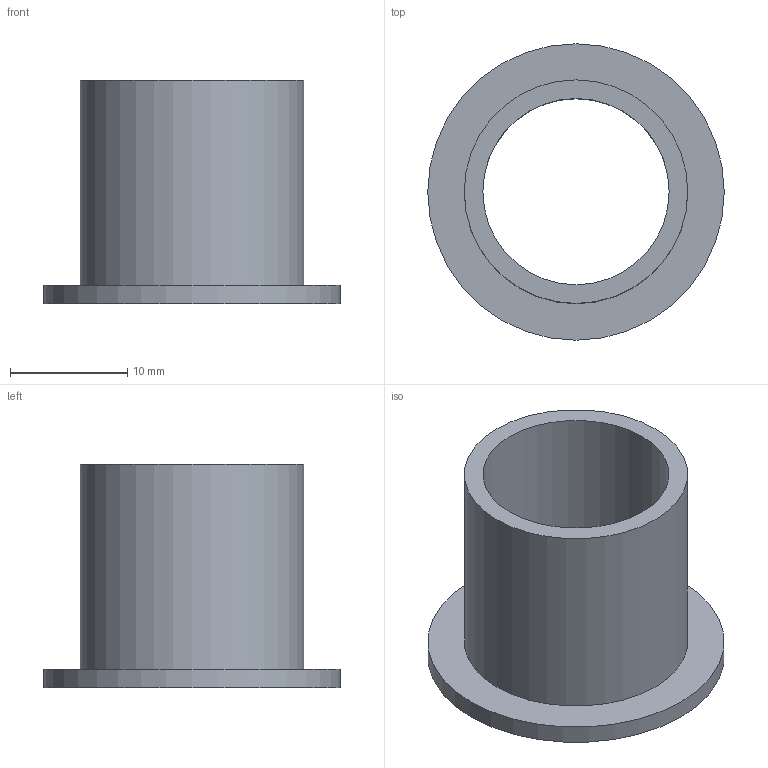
import cadquery as cq

sleeve_diameter = 19.05
wall_thickness = 1.5875
flange_diameter = 25.27
flange_thickness = wall_thickness
overall_height = 19.05

bore_diameter = sleeve_diameter - 2 * wall_thickness


def cylinder(diameter, height):
    """Solid cylinder on the Z axis, standing on the XY plane."""
    return cq.Workplane("XY").circle(diameter / 2).extrude(height)


flange = cylinder(flange_diameter, flange_thickness)
sleeve = cylinder(sleeve_diameter, overall_height)
bore = cylinder(bore_diameter, overall_height)

result = flange.union(sleeve).cut(bore)